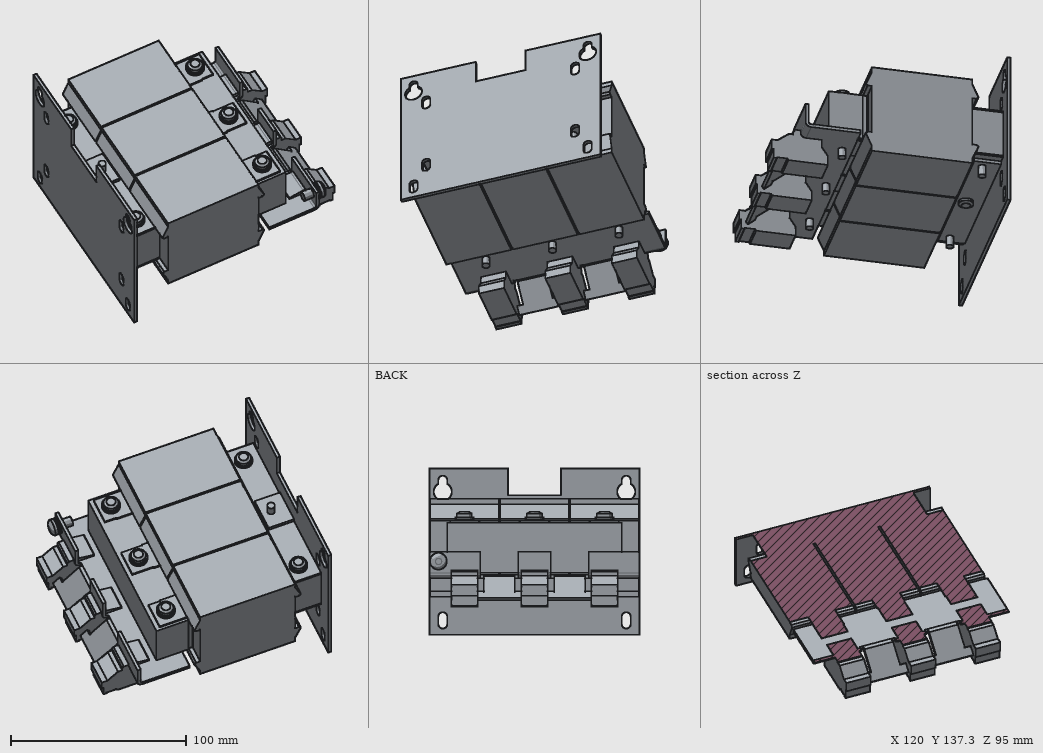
import cadquery as cq
import math


sheet = 2.0
phase_pitch = 40.0
phase_positions = [-phase_pitch, 0.0, phase_pitch]
outer_positions = [-phase_pitch, phase_pitch]

plate_width = 120.0
plate_height = 95.0
plate_mid_z = -2.2
plate_top_z = plate_mid_z + plate_height / 2
notch_width = 30.0
notch_depth = 15.3
slot_length = 9.2
slot_width = 5.0
inner_slot_x = 44.8
inner_slot_offset = 24.5
corner_x = 52.4
corner_slot_z = -41.5
keyhole_z = 32.0
keyhole_radius = 5.1
keyhole_slot_height = 9.1

yoke_width = 20.0
core_width = 99.6
leg_width = core_width - 2 * phase_pitch
core_half_z = 14.4
core_start_y = sheet
core_end_y = 104.3
rear_yoke_start = core_end_y - yoke_width
spacer_start_y = 82.0
spacer_inset = 0.5

strap = 1.0
strap_z = core_half_z + strap
front_strap_inset = 0.2
strap_half_width = 8.15
strap_flare = 0.5
strap_end_y = 101.6
outer_flare_y = 94.4
middle_flare_y = 88.6

coil_width = 39.0
coil_half_z = 27.9
coil_start_y = 22.4
coil_end_y = 81.3
flange_reach = 3.7
flange_root_z = 24.8
flange_tip_z = 16.5
flange_heel = 1.2

foot_end_y = 17.8
foot_width = 20.4
lower_foot_width = 90.0

front_bolt_y = core_start_y + yoke_width / 2
rear_bolt_y = core_end_y - yoke_width / 2
bolt_radius = 2.15
washer_radius = 5.15
washer_height = 1.0
rear_washer_radius = 4.9
spring_washer_radius = 5.3
head_radius = 4.3
head_tip_radius = 2.65
head_height = 2.1
head_taper = 1.0
middle_head_height = 1.5
front_bolt_end_z = 23.7
middle_bolt_end_z = 23.1
rear_bolt_end_z = 22.8

bracket_z = -strap_z
bracket_start_y = 88.0
bracket_end_y = 120.4
bracket_top_z = -2.3
bend_radius = 1.1
end_lug_inner_x = 30.9
middle_lug_width = 18.4
rail_start_y = 116.8
rail_bend_y = 118.9
rail_end_y = 133.6
rail_angle = 40.0
rail_tab_width = 17.7
rail_bar_width = 2 * phase_pitch
rail_bar_start_y = 129.4

terminal_width = 15.1
terminal_rear_y = 137.3
terminal_back_y = 136.2
terminal_lip_y = 134.2
terminal_slope_end_y = 133.8
terminal_slope_start_y = 127.2
terminal_step_y = 124.6
terminal_crest_y = 116.8
terminal_neck_y = 107.9
terminal_front_y = 104.3
terminal_foot_y = 127.5
terminal_recess_y = 128.2
terminal_top_z = -12.8
terminal_neck_top_z = -14.3
terminal_shoulder_z = -15.9
terminal_shelf_z = -21.1
terminal_neck_bottom_z = -22.2
terminal_ledge_z = -27.3
terminal_toe_z = -27.8
terminal_recess_z = -32.6
terminal_lip_z = -33.2
terminal_bottom_z = -33.6
terminal_chamfer = 1.0

screw_x = 54.9
screw_z = -7.7
screw_radius = 2.75
screw_tip_y = 112.6
screw_head_radius = 4.8
screw_neck_radius = 4.0
screw_washer_height = 1.0
screw_neck_height = 1.0
screw_rim_height = 2.0
screw_dome_height = 1.8
screw_dome_top_radius = 1.8


def box(x_range, y_range, z_range):
    """Box spanning the given (low, high) limits."""
    size = [high - low for low, high in (x_range, y_range, z_range)]
    return (
        cq.Workplane("XY")
        .box(*size, centered=False)
        .translate((x_range[0], y_range[0], z_range[0]))
    )


def extrude_along_x(profile, x_mid, width):
    """Extrude a closed YZ profile by width, centred on x_mid."""
    return profile.extrude(width / 2, both=True).translate((x_mid, 0, 0))


def plate_cutter(sketch):
    """Extrude an XZ sketch right through the mounting plate."""
    return sketch.extrude(sheet, both=True)


def vertical_slot(x, z, length):
    sketch = cq.Workplane("XZ").center(x, z).slot2D(length, slot_width, 90)
    return plate_cutter(sketch)


def keyhole(x):
    bulb = plate_cutter(cq.Workplane("XZ").center(x, keyhole_z).circle(keyhole_radius))
    neck = vertical_slot(x, keyhole_z + keyhole_slot_height / 2, keyhole_slot_height)
    return bulb.union(neck)


def mounting_plate():
    half_width = plate_width / 2
    plate = box((-half_width, half_width), (0, sheet), (plate_top_z - plate_height, plate_top_z))
    half_notch = notch_width / 2
    notch_z = (plate_top_z - notch_depth, plate_top_z)
    plate = plate.cut(box((-half_notch, half_notch), (0, sheet), notch_z))
    for side in (-1, 1):
        plate = plate.cut(keyhole(side * corner_x))
        plate = plate.cut(vertical_slot(side * corner_x, corner_slot_z, slot_length))
        for offset in (-inner_slot_offset, inner_slot_offset):
            plate = plate.cut(vertical_slot(side * inner_slot_x, plate_mid_z + offset, slot_length))
    return plate


def plate_feet():
    """Narrow upper foot and wide lower foot gripping the front yoke."""
    upper = box((-foot_width / 2, foot_width / 2), (0, foot_end_y), (strap_z, strap_z + sheet))
    lower_x = (-lower_foot_width / 2, lower_foot_width / 2)
    lower = box(lower_x, (0, foot_end_y), (-strap_z - sheet, -strap_z))
    return upper.union(lower)


def core():
    half_width = core_width / 2
    z_range = (-core_half_z, core_half_z)
    front_yoke = box((-half_width, half_width), (core_start_y, coil_start_y), z_range)
    rear_yoke = box((-half_width, half_width), (rear_yoke_start, core_end_y), z_range)
    spacer_half = half_width - spacer_inset
    spacer = box((-spacer_half, spacer_half), (spacer_start_y, rear_yoke_start), z_range)
    body = front_yoke.union(rear_yoke).union(spacer)
    for x in phase_positions:
        leg_x = (x - leg_width / 2, x + leg_width / 2)
        body = body.union(box(leg_x, (core_start_y, spacer_start_y), z_range))
    return body


def straps():
    """Full-width strips on the front yoke and one flared tab per phase on the rear yoke."""
    half_width = core_width / 2 - front_strap_inset
    upper_z = (core_half_z, strap_z)
    lower_z = (-strap_z, -core_half_z)
    body = cq.Workplane("XY")
    for z_range in (upper_z, lower_z):
        body = body.add(box((-half_width, half_width), (core_start_y, coil_start_y), z_range))
    for x in phase_positions:
        flare_y = middle_flare_y if x == 0 else outer_flare_y
        left = x - strap_half_width
        right = x + strap_half_width
        left_flare = strap_flare if x >= 0 else 0
        right_flare = strap_flare if x <= 0 else 0
        flare_x = (left - left_flare, right + right_flare)
        for z_range in (upper_z, lower_z):
            tab = box((left, right), (coil_end_y, strap_end_y), z_range)
            body = body.add(tab.union(box(flare_x, (coil_end_y, flare_y), z_range)))
    return body.combine()


def coil(x):
    half_width = coil_width / 2
    body = box((x - half_width, x + half_width), (coil_start_y, coil_end_y), (-coil_half_z, coil_half_z))
    for end_y, outward in ((coil_start_y, -1), (coil_end_y, 1)):
        tip_y = end_y + outward * flange_reach
        for side in (-1, 1):
            flange = cq.Workplane("YZ").polyline([
                (end_y, side * flange_root_z),
                (tip_y, side * flange_tip_z),
                (tip_y - outward * flange_heel, side * strap_z),
                (end_y, side * strap_z),
            ]).close()
            body = body.union(extrude_along_x(flange, x, coil_width))
    return body


def disc(x, y, z, radius, height):
    """Vertical cylinder standing on z."""
    return cq.Workplane("XY", origin=(x, y, z)).circle(radius).extrude(height)


def bolt_head(x, y, z, height, direction):
    """Round bolt head with a conical tip, growing from z along direction (+1 up, -1 down)."""
    profile = cq.Workplane("XZ").polyline([
        (0, 0),
        (head_radius, 0),
        (head_radius, direction * height),
        (head_tip_radius, direction * (height + head_taper)),
        (0, direction * (height + head_taper)),
    ]).close()
    return profile.revolve(360, (0, 0), (0, 1)).translate((x, y, z))


def front_bolt(x):
    """Bolt with its head on top, its shank passing down through the yoke and lower foot."""
    shank = disc(x, front_bolt_y, -front_bolt_end_z, bolt_radius, front_bolt_end_z + strap_z)
    washer = disc(x, front_bolt_y, strap_z, washer_radius, washer_height)
    head = bolt_head(x, front_bolt_y, strap_z + washer_height, head_height, 1)
    return shank.union(washer).union(head)


def middle_bolt():
    """Inverted bolt with its head under the lower foot, passing up through both feet."""
    head_z = -strap_z - sheet
    shank = disc(0, front_bolt_y, head_z, bolt_radius, middle_bolt_end_z - head_z)
    return shank.union(bolt_head(0, front_bolt_y, head_z, middle_head_height, -1))


def rear_bolt(x):
    """Bolt with two washers, its shank passing down through the yoke and bracket."""
    shank = disc(x, rear_bolt_y, -rear_bolt_end_z, bolt_radius, rear_bolt_end_z + strap_z)
    washer = disc(x, rear_bolt_y, strap_z, rear_washer_radius, washer_height)
    spring_z = strap_z + washer_height
    spring_washer = disc(x, rear_bolt_y, spring_z, spring_washer_radius, washer_height)
    head = bolt_head(x, rear_bolt_y, spring_z + washer_height, head_height, 1)
    return shank.union(washer).union(spring_washer).union(head)


def bent_bracket_sheet():
    """L-shaped sheet with a rounded bend, as wide as the mounting plate."""
    outer_radius = bend_radius + sheet
    inner_y = bracket_end_y - sheet
    bottom_z = bracket_z - sheet
    diagonal = math.sqrt(0.5)
    bend_y = bracket_end_y - outer_radius
    bend_z = bottom_z + outer_radius
    profile = (
        cq.Workplane("YZ")
        .moveTo(bracket_start_y, bottom_z)
        .lineTo(bend_y, bottom_z)
        .threePointArc(
            (bend_y + outer_radius * diagonal, bend_z - outer_radius * diagonal),
            (bracket_end_y, bend_z),
        )
        .lineTo(bracket_end_y, bracket_top_z)
        .lineTo(inner_y, bracket_top_z)
        .lineTo(inner_y, bend_z)
        .threePointArc(
            (bend_y + bend_radius * diagonal, bend_z - bend_radius * diagonal),
            (bend_y, bracket_z),
        )
        .lineTo(bracket_start_y, bracket_z)
        .close()
    )
    return extrude_along_x(profile, 0, plate_width)


def terminal_rail():
    """Sloping T-shaped tabs between the lugs, joined by a bar along their rear ends."""
    slope = math.tan(math.radians(rail_angle))
    half_slope = math.tan(math.radians(rail_angle / 2))
    thickness_shift = sheet * math.sin(math.radians(rail_angle))
    thickness_drop = sheet * math.cos(math.radians(rail_angle))
    bend_z = bracket_z - (rail_bend_y - rail_start_y) * half_slope
    end_z = bend_z - (rail_end_y - rail_bend_y) * slope
    bar_z = bend_z - (rail_bar_start_y - rail_bend_y) * slope
    tab = cq.Workplane("YZ").polyline([
        (rail_start_y, bracket_z),
        (rail_bend_y, bend_z),
        (rail_end_y, end_z),
        (rail_end_y - thickness_shift, end_z - thickness_drop),
        (rail_bend_y - thickness_shift, bend_z - thickness_drop),
        (rail_start_y, bracket_z - sheet),
    ]).close()
    bar = cq.Workplane("YZ").polyline([
        (rail_bar_start_y, bar_z),
        (rail_end_y, end_z),
        (rail_end_y - thickness_shift, end_z - thickness_drop),
        (rail_bar_start_y - thickness_shift, bar_z - thickness_drop),
    ]).close()
    body = extrude_along_x(bar, 0, rail_bar_width)
    centred_tab = extrude_along_x(tab, 0, rail_tab_width)
    for x in (-phase_pitch / 2, phase_pitch / 2):
        body = body.union(centred_tab.translate((x, 0, 0)))
    return body


def bracket():
    body = bent_bracket_sheet()
    gap_start = middle_lug_width / 2
    gap_z = (bracket_z - sheet, bracket_top_z)
    for gap_x in ((-end_lug_inner_x, -gap_start), (gap_start, end_lug_inner_x)):
        body = body.cut(box(gap_x, (rail_start_y, bracket_end_y), gap_z))
    return body.union(terminal_rail())


def terminal(x):
    profile = cq.Workplane("YZ").polyline([
        (terminal_rear_y, terminal_shelf_z),
        (terminal_slope_end_y, terminal_shelf_z),
        (terminal_slope_start_y, terminal_shoulder_z),
        (terminal_step_y, terminal_shoulder_z),
        (terminal_step_y, terminal_top_z - terminal_chamfer),
        (terminal_step_y - terminal_chamfer, terminal_top_z),
        (terminal_crest_y, terminal_top_z),
        (terminal_neck_y, terminal_neck_top_z),
        (terminal_neck_y, terminal_neck_bottom_z),
        (terminal_front_y, terminal_toe_z),
        (terminal_front_y, terminal_bottom_z),
        (terminal_foot_y, terminal_bottom_z),
        (terminal_recess_y, terminal_recess_z),
        (terminal_lip_y, terminal_recess_z),
        (terminal_lip_y, terminal_lip_z),
        (terminal_back_y, terminal_lip_z),
        (terminal_back_y, terminal_ledge_z),
        (terminal_rear_y, terminal_ledge_z),
    ]).close()
    return extrude_along_x(profile, x, terminal_width)


def earth_screw():
    """Domed screw with washer, its axis along Y through the right-hand bracket lug."""
    washer_end = bracket_end_y + screw_washer_height
    neck_end = washer_end + screw_neck_height
    rim_end = neck_end + screw_rim_height
    dome_end = rim_end + screw_dome_height
    dome_mid = (
        (screw_head_radius + screw_dome_top_radius) / 2 + screw_dome_height / 4,
        rim_end + screw_dome_height * 2 / 3,
    )
    profile = (
        cq.Workplane("XY")
        .moveTo(0, screw_tip_y)
        .lineTo(screw_radius, screw_tip_y)
        .lineTo(screw_radius, bracket_end_y)
        .lineTo(screw_head_radius, bracket_end_y)
        .lineTo(screw_head_radius, washer_end)
        .lineTo(screw_neck_radius, washer_end)
        .lineTo(screw_neck_radius, neck_end)
        .lineTo(screw_head_radius, neck_end)
        .lineTo(screw_head_radius, rim_end)
        .threePointArc(dome_mid, (screw_dome_top_radius, dome_end))
        .lineTo(0, dome_end)
        .close()
    )
    return profile.revolve(360, (0, 0), (0, 1)).translate((screw_x, 0, screw_z))


result = mounting_plate().union(plate_feet()).union(core()).union(straps())
for phase_x in phase_positions:
    result = result.union(coil(phase_x))
result = result.union(bracket())
for phase_x in phase_positions:
    result = result.union(terminal(phase_x))
    result = result.union(rear_bolt(phase_x))
for bolt_x in outer_positions:
    result = result.union(front_bolt(bolt_x))
result = result.union(middle_bolt()).union(earth_screw())